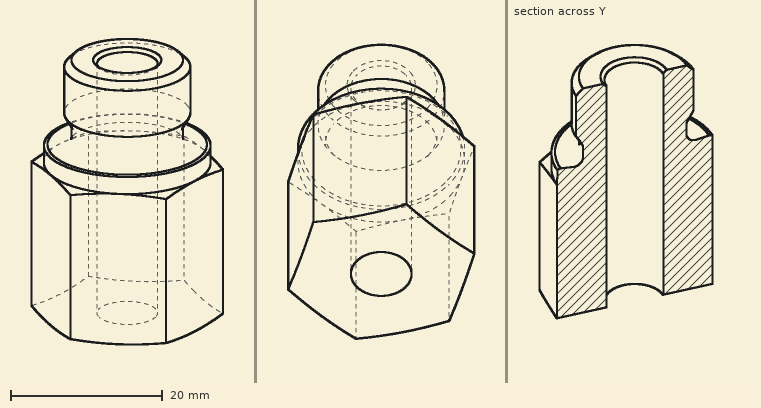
import cadquery as cq
import math

total_height = 36.0
across_flats = 22.0
across_corners = across_flats / math.cos(math.radians(30))

hex_height = 21.42
hex_chamfer_angle = math.radians(15)

collar_radius = across_flats / 2
collar_top = 23.98
rim_radius = 10.5
rim_angle = math.radians(15)
seat_angle = math.radians(7)

neck_radius = 14.7 / 2
neck_fillet = 1.2
spigot_radius = 16.65 / 2
spigot_bottom = 28.48
spigot_chamfer = 0.97
undercut_angle = math.radians(30)

bore_diameter = 8.0
bore_chamfer = 0.5


def make_hex_body():
    """Hexagonal prism with its corners cut by a cone at each end."""
    corner_radius = across_corners / 2
    flat_radius = across_flats / 2
    corner_drop = (corner_radius - flat_radius) * math.tan(hex_chamfer_angle)
    prism = (
        cq.Workplane("XY")
        .polygon(6, across_corners)
        .extrude(hex_height)
        .rotate((0, 0, 0), (0, 0, 1), 30)
    )
    envelope = (
        cq.Workplane("XZ")
        .moveTo(0, 0)
        .lineTo(flat_radius, 0)
        .lineTo(corner_radius, corner_drop)
        .lineTo(corner_radius, hex_height - corner_drop)
        .lineTo(flat_radius, hex_height)
        .lineTo(0, hex_height)
        .close()
        .revolve(360, (0, 0), (0, 1))
    )
    return prism.intersect(envelope)


def fillet_point(center_z, angle):
    """Point on a neck fillet, in the radius-height plane."""
    center_radius = neck_radius + neck_fillet
    return (
        center_radius + neck_fillet * math.cos(angle),
        center_z + neck_fillet * math.sin(angle),
    )


def make_turned_end():
    """Collar, filleted neck and spigot as one revolved profile."""
    seat_inner_radius = neck_radius + neck_fillet * (1 + math.sin(seat_angle))
    seat_inner_z = collar_top - (rim_radius - seat_inner_radius) * math.tan(seat_angle)
    lower_z = seat_inner_z + neck_fillet * math.cos(seat_angle)
    lower_start = math.radians(270) + seat_angle
    lower_middle = (lower_start + math.pi) / 2

    cone_foot_z = spigot_bottom - (spigot_radius - neck_radius) / math.tan(undercut_angle)
    upper_z = cone_foot_z - neck_fillet * math.tan(undercut_angle / 2)
    upper_end = math.pi - undercut_angle
    upper_middle = (math.pi + upper_end) / 2

    rim_drop = (collar_radius - rim_radius) * math.tan(rim_angle)
    return (
        cq.Workplane("XZ")
        .moveTo(0, hex_height)
        .lineTo(collar_radius, hex_height)
        .lineTo(collar_radius, collar_top - rim_drop)
        .lineTo(rim_radius, collar_top)
        .lineTo(seat_inner_radius, seat_inner_z)
        .threePointArc(fillet_point(lower_z, lower_middle), (neck_radius, lower_z))
        .lineTo(neck_radius, upper_z)
        .threePointArc(fillet_point(upper_z, upper_middle), fillet_point(upper_z, upper_end))
        .lineTo(spigot_radius, spigot_bottom)
        .lineTo(spigot_radius, total_height - spigot_chamfer)
        .lineTo(spigot_radius - spigot_chamfer, total_height)
        .lineTo(0, total_height)
        .close()
        .revolve(360, (0, 0), (0, 1))
    )


def make_bore():
    """Through bore with a 45 degree chamfer at the spigot end."""
    bore_radius = bore_diameter / 2
    return (
        cq.Workplane("XZ")
        .moveTo(0, 0)
        .lineTo(bore_radius, 0)
        .lineTo(bore_radius, total_height - bore_chamfer)
        .lineTo(bore_radius + bore_chamfer, total_height)
        .lineTo(0, total_height)
        .close()
        .revolve(360, (0, 0), (0, 1))
    )


result = make_hex_body().union(make_turned_end()).cut(make_bore())